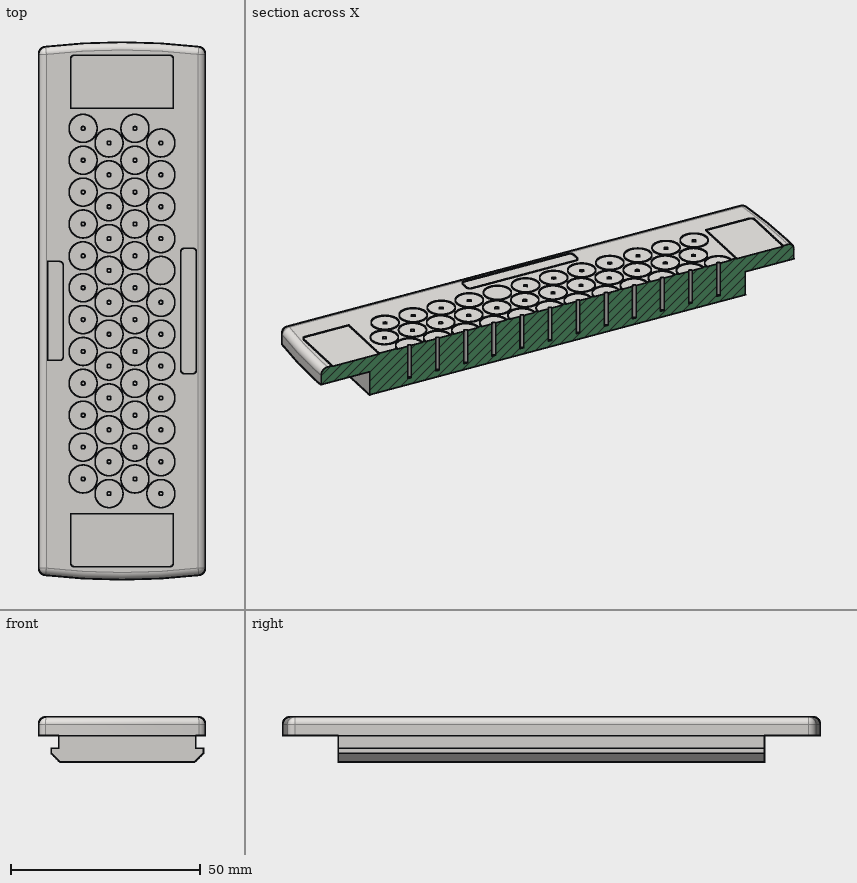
import cadquery as cq

PLATE_WIDTH = 43.97
PLATE_LENGTH = 141.72
PLATE_THICKNESS = 5.0
END_BOW = 1.4
RIM_RADIUS = 2.0
CORNER_RADIUS = 2.001

TOTAL_HEIGHT = 12.0
RAIL_LENGTH = 112.4
RAIL_OFFSET_X = 1.4
NECK_WIDTH = 36.2
FOOT_WIDTH = 40.2
FOOT_TOP_Z = 3.7
BEVEL_TOP_Z = 2.4
FOOT_BASE_WIDTH = FOOT_WIDTH - 2 * BEVEL_TOP_Z

RECESS_DEPTH = 0.2
RECESS_CORNER_RADIUS = 1.0
LABEL_WIDTH = 27.1
LABEL_LENGTH = 14.0
LABEL_CENTER_Y = 60.4
SLOT_WIDTH = 4.1
SLOT_CENTER_X = 17.55
LEFT_SLOT_LENGTH = 26.1
RIGHT_SLOT_LENGTH = 33.1

COLUMN_COUNT = 4
ROW_COUNT = 12
COLUMN_PITCH = 6.83
ROW_PITCH = 8.4
COLUMN_STAGGER = 3.85
SPOT_DIAMETER = 7.4
HOLE_DIAMETER = 1.0
HOLE_DEPTH = 10.0
UNDRILLED_SPOT = (3, 4)

PLATE_BOTTOM_Z = TOTAL_HEIGHT - PLATE_THICKNESS
RECESS_FLOOR_Z = TOTAL_HEIGHT - RECESS_DEPTH


def make_plate():
    half_width = PLATE_WIDTH / 2
    half_length = PLATE_LENGTH / 2
    corner_y = half_length - END_BOW
    outline = (
        cq.Workplane("XY", origin=(0, 0, PLATE_BOTTOM_Z))
        .moveTo(-half_width, -corner_y)
        .threePointArc((0, -half_length), (half_width, -corner_y))
        .lineTo(half_width, corner_y)
        .threePointArc((0, half_length), (-half_width, corner_y))
        .close()
    )
    plate = outline.extrude(PLATE_THICKNESS)
    plate = plate.edges("|Z").fillet(CORNER_RADIUS)
    return plate.faces(">Z").edges().fillet(RIM_RADIUS)


def make_rail():
    right_profile = [
        (FOOT_BASE_WIDTH / 2, 0),
        (FOOT_WIDTH / 2, BEVEL_TOP_Z),
        (FOOT_WIDTH / 2, FOOT_TOP_Z),
        (NECK_WIDTH / 2, FOOT_TOP_Z),
        (NECK_WIDTH / 2, PLATE_BOTTOM_Z),
    ]
    left_profile = [(-x, z) for x, z in reversed(right_profile)]
    return (
        cq.Workplane("XZ", origin=(RAIL_OFFSET_X, 0, 0))
        .polyline(right_profile + left_profile)
        .close()
        .extrude(RAIL_LENGTH / 2, both=True)
    )


def make_recess(width, length, center_x, center_y, rounded_edges):
    """Rectangular cutter; rounded_edges selects the upright edges to round."""
    return (
        cq.Workplane("XY", origin=(center_x, center_y, RECESS_FLOOR_Z))
        .rect(width, length)
        .extrude(RECESS_DEPTH)
        .edges(rounded_edges)
        .fillet(RECESS_CORNER_RADIUS)
    )


def spot_centers():
    """Map each (column, row) to its centre; odd columns sit lower by the stagger."""
    centers = {}
    for column in range(COLUMN_COUNT):
        x = (column - (COLUMN_COUNT - 1) / 2) * COLUMN_PITCH
        shift = COLUMN_STAGGER * (0.5 - column % 2)
        for row in range(ROW_COUNT):
            y = ((ROW_COUNT - 1) / 2 - row) * ROW_PITCH + shift
            centers[(column, row)] = (x, y)
    return centers


def round_cutters(centers, diameter, depth):
    return (
        cq.Workplane("XY", origin=(0, 0, TOTAL_HEIGHT - depth))
        .pushPoints(centers)
        .circle(diameter / 2)
        .extrude(depth)
    )


result = make_plate().union(make_rail())

result = result.cut(make_recess(LABEL_WIDTH, LABEL_LENGTH, 0, LABEL_CENTER_Y, "|Z and >Y"))
result = result.cut(make_recess(LABEL_WIDTH, LABEL_LENGTH, 0, -LABEL_CENTER_Y, "|Z and <Y"))

result = result.cut(make_recess(SLOT_WIDTH, LEFT_SLOT_LENGTH, -SLOT_CENTER_X, 0, "|Z and >X"))
result = result.cut(make_recess(SLOT_WIDTH, RIGHT_SLOT_LENGTH, SLOT_CENTER_X, 0, "|Z"))

spots = spot_centers()
drilled_centers = [center for place, center in spots.items() if place != UNDRILLED_SPOT]
result = result.cut(round_cutters(list(spots.values()), SPOT_DIAMETER, RECESS_DEPTH))
result = result.cut(round_cutters(drilled_centers, HOLE_DIAMETER, HOLE_DEPTH))